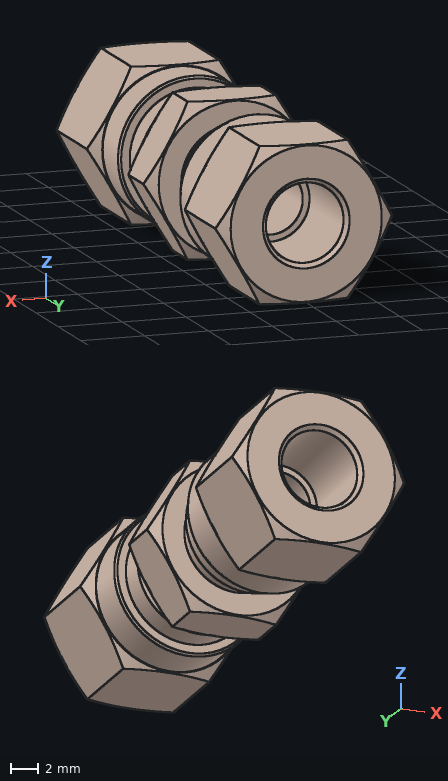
import cadquery as cq
import math

total_length = 36.68
across_flats = 12.0
across_corners = across_flats / math.cos(math.radians(30))

nut_length = 7.95
grip_length = 4.5
hex_chamfer_angle = 30
hex_face_diameter = 11.85

collar_diameter = 11.77
collar_length = 3.6
collar_chamfer = 0.2

body_diameter = 10.05
neck_diameter = 8.33
neck_length = 1.45
cone_length = (body_diameter - neck_diameter) / 2

bore_diameter = 5.03
socket_diameter = 6.1
socket_depth = nut_length
mouth_diameter = 6.8
mouth_chamfer = (mouth_diameter - socket_diameter) / 2

half_length = total_length / 2
half_grip = grip_length / 2
collar_inner = half_length - nut_length - collar_length


def revolve_about_y(points):
    """Revolve a closed outline of (radius, y) points around the Y axis."""
    return cq.Workplane("XY").polyline(points).close().revolve(360, (0, 0), (0, 1))


def chamfered_hexagon(start, length):
    """Hexagonal prism from y = start, its corners turned down at both ends."""
    end = start + length
    prism = (
        cq.Workplane("XZ", origin=(0, end, 0))
        .polygon(6, across_corners)
        .extrude(length)
    )
    face_radius = hex_face_diameter / 2
    corner_radius = across_corners / 2
    drop = (corner_radius - face_radius) * math.tan(math.radians(hex_chamfer_angle))
    envelope = revolve_about_y([
        (0, start),
        (face_radius, start),
        (corner_radius, start + drop),
        (corner_radius, end - drop),
        (face_radius, end),
        (0, end),
    ])
    return prism.intersect(envelope)


def round_half():
    """Neck, cone, body and collar from the middle plane to the nut at +Y."""
    neck_end = half_grip + neck_length
    nut_start = half_length - nut_length
    return revolve_about_y([
        (0, 0),
        (neck_diameter / 2, 0),
        (neck_diameter / 2, neck_end),
        (body_diameter / 2, neck_end + cone_length),
        (body_diameter / 2, collar_inner),
        (collar_diameter / 2 - collar_chamfer, collar_inner),
        (collar_diameter / 2, collar_inner + collar_chamfer),
        (collar_diameter / 2, nut_start),
        (0, nut_start),
    ])


def bore_half():
    """Bore and chamfered socket from the middle plane to the +Y end."""
    return revolve_about_y([
        (0, 0),
        (bore_diameter / 2, 0),
        (bore_diameter / 2, half_length - socket_depth),
        (socket_diameter / 2, half_length - socket_depth),
        (socket_diameter / 2, half_length - mouth_chamfer),
        (mouth_diameter / 2, half_length),
        (0, half_length),
    ])


def both_ends(half):
    """Join a +Y half with its mirror image."""
    return half.union(half.mirror("XZ"))


outer_half = round_half().union(chamfered_hexagon(half_length - nut_length, nut_length))
grip = chamfered_hexagon(-half_grip, grip_length)
result = both_ends(outer_half).union(grip).cut(both_ends(bore_half()))